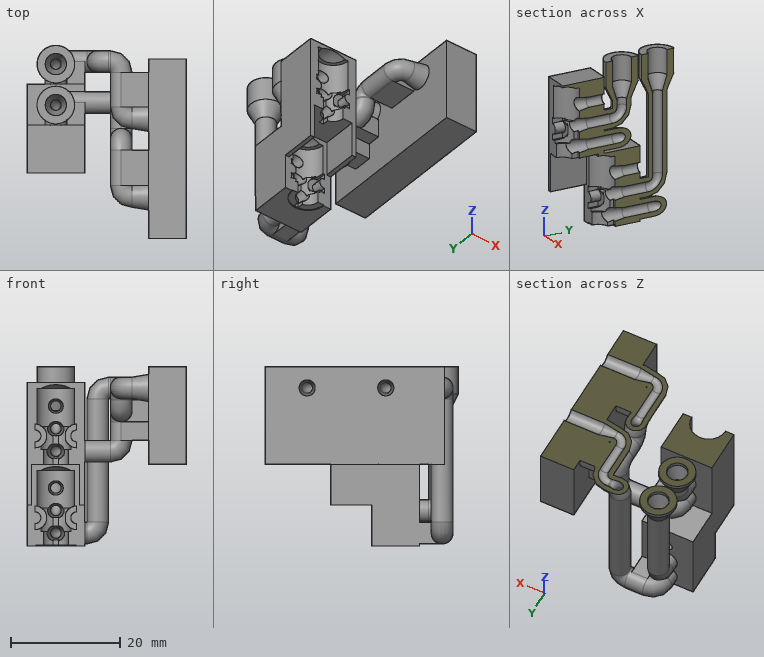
import cadquery as cq

unit_width = 10.57
unit_depth = 8.8
unit_height = 15.0
unit_step_y = 7.5
lower_front_y = 19.5
upper_front_y = lower_front_y - unit_step_y
bore_x = 5.26

leg_height = 7.5
left_leg_width = 0.83
right_leg_width = 0.93

wide_bore_dia = 6.9
middle_bore_dia = 5.52
narrow_bore_dia = 4.6
middle_bore_z = 2.7
wide_bore_z = 6.96
ceiling_z = 13.9
dome_radius = 2.7
dome_height = 0.7

outlet_z = 2.4
inlet_z = 6.53
vent_z = 10.67
slot_width = 0.95
slot_depth = 3.5

groove_outer_radius = 2.17
groove_inner_radius = 1.08
groove_depth = 2.14
groove_z = 5.2
groove_reach = 3.82

seat_dia = 7.3
seat_depth = 0.2

pipe_dia = 4.0
pipe_bore_dia = 1.93
bend_radius = 2.005
pipe_reach = 4.13

port_dia = 2.95
port_outer_dia = 5.0
taper_length = 3.0
port_start = 2.5
port_lead = 1.5

total_height = 32.9
funnel_outer_dia = 6.9
funnel_bore_dia = 3.9
funnel_length = 5.0
funnel_reach = 3.66

plate_x = 22.25
plate_thickness = 6.93
plate_length = 32.9
plate_bottom_z = 15.0
port_z = 29.0
far_port_y = 22.1
near_port_y = 7.7
plate_run_x = plate_x - taper_length - bend_radius
lower_riser_x = 12.95
upper_riser_y = 18.2
cross_z = 24.8


def box_between(low, high):
    """Axis-aligned box from its lowest to its highest corner."""
    size = [b - a for a, b in zip(low, high)]
    return cq.Workplane("XY").box(*size, centered=False).translate(low)


def cylinder(start, direction, dia, length):
    return cq.Workplane(cq.Solid.makeCylinder(dia / 2, length, cq.Vector(*start), cq.Vector(*direction)))


def cone(start, direction, start_dia, end_dia, length):
    return cq.Workplane(
        cq.Solid.makeCone(start_dia / 2, end_dia / 2, length, cq.Vector(*start), cq.Vector(*direction))
    )


def tube_pieces(points, dia):
    """Round bar along a right-angled path, as straight pieces and quarter bends."""
    path = [cq.Vector(*point) for point in points]
    pieces = []
    start = path[0]
    for index in range(1, len(path)):
        corner = path[index]
        heading = (corner - path[index - 1]).normalized()
        is_last = index == len(path) - 1
        end = corner if is_last else corner - heading * bend_radius
        pieces.append(cylinder(start.toTuple(), heading.toTuple(), dia, (end - start).Length))
        if not is_last:
            turn = (path[index + 1] - corner).normalized()
            plane = cq.Plane(origin=end, xDir=turn, normal=heading)
            pieces.append(
                cq.Workplane(plane).circle(dia / 2).revolve(90, (bend_radius, 0), (bend_radius, 1))
            )
            start = corner + turn * bend_radius
    return pieces


def bore_tool(front_y, bottom_z):
    """Stepped bore with a domed ceiling, revolved about its vertical axis."""
    profile = (
        cq.Workplane("XZ")
        .lineTo(narrow_bore_dia / 2, 0)
        .lineTo(narrow_bore_dia / 2, middle_bore_z)
        .lineTo(middle_bore_dia / 2, middle_bore_z)
        .lineTo(middle_bore_dia / 2, wide_bore_z)
        .lineTo(wide_bore_dia / 2, wide_bore_z)
        .lineTo(wide_bore_dia / 2, ceiling_z)
        .lineTo(dome_radius, ceiling_z)
    )
    sphere_radius = (dome_radius**2 + dome_height**2) / (2 * dome_height)
    mid_x = dome_radius / 2
    mid_z = ceiling_z + dome_height - sphere_radius + (sphere_radius**2 - mid_x**2) ** 0.5
    profile = profile.threePointArc((mid_x, mid_z), (0, ceiling_z + dome_height)).close()
    return profile.revolve(360, (0, 0), (0, 1)).translate((bore_x, front_y, bottom_z))


def groove_tools(front_y, bottom_z):
    """Half rings, open away from the bore, sunk into the unit front face."""
    tools = []
    for side in (-1, 1):
        centre_x = bore_x + side * groove_reach
        centre = (centre_x, front_y, bottom_z + groove_z)
        outer = cylinder(centre, (0, 1, 0), 2 * groove_outer_radius, groove_depth)
        inner = cylinder(centre, (0, 1, 0), 2 * groove_inner_radius, groove_depth)
        inside_x = centre_x - side * groove_outer_radius
        inner_half = box_between(
            (min(centre_x, inside_x), front_y, centre[2] - groove_outer_radius),
            (max(centre_x, inside_x), front_y + groove_depth, centre[2] + groove_outer_radius),
        )
        tools.append(outer.cut(inner).intersect(inner_half))
    return tools


def passage_tools(front_y, bottom_z):
    """Tapered holes through the back wall and the slot joining them."""
    slope = (port_dia - pipe_bore_dia) / taper_length
    taper_start = port_start - port_lead
    tools = []
    for height in (outlet_z, inlet_z, vent_z):
        start = (bore_x, front_y + taper_start, bottom_z + height)
        tools.append(
            cone(start, (0, 1, 0), port_dia + slope * port_lead, pipe_bore_dia, taper_length + port_lead)
        )
        tools.append(cylinder((bore_x, front_y, start[2]), (0, 1, 0), pipe_bore_dia, unit_depth))
    tools.append(
        box_between(
            (bore_x - slot_width / 2, front_y, bottom_z),
            (bore_x + slot_width / 2, front_y + slot_depth, bottom_z + inlet_z),
        )
    )
    return tools


def outlet_path(front_y, bottom_z):
    """First two points of the pipe leaving a unit: its back face and the first corner."""
    back_y = front_y + unit_depth
    height = bottom_z + outlet_z
    return [(bore_x, back_y, height), (bore_x, back_y + pipe_reach, height)]


def funnel_parts(front_y, bottom_z):
    """Vertical funnel feeding the inlet of a unit: solid pieces and bore pieces."""
    back_y = front_y + unit_depth
    axis_y = back_y + funnel_reach
    inlet = bottom_z + inlet_z
    neck_z = total_height - funnel_length
    pipe_top_z = neck_z - taper_length
    top = (bore_x, axis_y, total_height)
    neck = (bore_x, axis_y, neck_z)
    path = [(bore_x, back_y, inlet), (bore_x, axis_y, inlet), (bore_x, axis_y, pipe_top_z)]
    down = (0, 0, -1)
    pieces = []
    for bowl_dia, tube_dia in ((funnel_outer_dia, pipe_dia), (funnel_bore_dia, pipe_bore_dia)):
        bowl = cylinder(top, down, bowl_dia, funnel_length)
        throat = cone(neck, down, bowl_dia, tube_dia, taper_length)
        pieces.append([bowl, throat] + tube_pieces(path, tube_dia))
    return pieces


def plate_port_parts(port_y):
    """Flared pipe end meeting the plate, and its bore through the plate."""
    start = (plate_x - taper_length, port_y, port_z)
    solid = cone(start, (1, 0, 0), pipe_dia, port_outer_dia, taper_length)
    flare = cone(start, (1, 0, 0), pipe_bore_dia, port_dia, taper_length)
    hole = cylinder((plate_x, port_y, port_z), (1, 0, 0), port_dia, plate_thickness)
    return [solid], [flare, hole]


def outlet_rib(path):
    """Web between the first sideways pipe run and the back of its unit."""
    back_y = path[0][1]
    axis_y, axis_z = path[1][1:]
    return box_between(
        (bore_x + bend_radius, back_y, axis_z - pipe_dia / 2),
        (unit_width, axis_y, axis_z + pipe_dia / 2),
    )


def plate_rib_along_y(low_y, high_y, axis_z):
    """Web between a straight pipe run along Y and the plate."""
    return box_between(
        (plate_run_x, low_y, axis_z - pipe_dia / 2),
        (plate_x, high_y, axis_z + pipe_dia / 2),
    )


units = [(lower_front_y, 0.0), (upper_front_y, unit_height)]
solids = []
for front_y, bottom_z in units:
    solids.append(
        box_between(
            (0, front_y, bottom_z),
            (unit_width, front_y + unit_depth, bottom_z + unit_height),
        )
    )
leg_bottom_z = unit_height - leg_height
leg_back_y = upper_front_y + unit_depth
for low_x, high_x in ((0, left_leg_width), (unit_width - right_leg_width, unit_width)):
    solids.append(
        box_between((low_x, upper_front_y, leg_bottom_z), (high_x, leg_back_y, unit_height))
    )
solids.append(
    box_between(
        (plate_x, 0, plate_bottom_z),
        (plate_x + plate_thickness, plate_length, total_height),
    )
)

lower_path = outlet_path(*units[0])
lower_run_y, lower_run_z = lower_path[1][1:]
lower_path += [
    (lower_riser_x, lower_run_y, lower_run_z),
    (lower_riser_x, lower_run_y, port_z),
    (plate_run_x, lower_run_y, port_z),
    (plate_run_x, far_port_y, port_z),
    (plate_x - taper_length, far_port_y, port_z),
]
upper_path = outlet_path(*units[1])
upper_run_y, upper_run_z = upper_path[1][1:]
upper_path += [
    (plate_run_x, upper_run_y, upper_run_z),
    (plate_run_x, upper_run_y, cross_z),
    (plate_run_x, upper_riser_y, cross_z),
    (plate_run_x, upper_riser_y, port_z),
    (plate_run_x, near_port_y, port_z),
    (plate_x - taper_length, near_port_y, port_z),
]
bores = []
for path in (lower_path, upper_path):
    solids += tube_pieces(path, pipe_dia)
    solids.append(outlet_rib(path))
    bores += tube_pieces(path, pipe_bore_dia)
for front_y, bottom_z in units:
    funnel_solids, funnel_bores = funnel_parts(front_y, bottom_z)
    solids += funnel_solids
    bores += funnel_bores
for port_y in (far_port_y, near_port_y):
    port_solids, port_bores = plate_port_parts(port_y)
    solids += port_solids
    bores += port_bores

solids.append(plate_rib_along_y(far_port_y + bend_radius, lower_run_y - bend_radius, port_z))
solids.append(plate_rib_along_y(near_port_y + bend_radius, upper_riser_y - bend_radius, port_z))
solids.append(plate_rib_along_y(upper_riser_y + bend_radius, upper_run_y - bend_radius, cross_z))
solids.append(
    box_between(
        (plate_run_x, upper_run_y - pipe_dia / 2, upper_run_z + bend_radius),
        (plate_x, upper_run_y + pipe_dia / 2, cross_z - bend_radius),
    )
)

for front_y, bottom_z in units:
    bores.append(bore_tool(front_y, bottom_z))
    bores += groove_tools(front_y, bottom_z)
    bores += passage_tools(front_y, bottom_z)
bores.append(cylinder((bore_x, lower_front_y, 0), (0, 0, 1), seat_dia, seat_depth))

result = solids[0]
for piece in solids[1:]:
    result = result.union(piece)
for piece in bores:
    result = result.cut(piece)